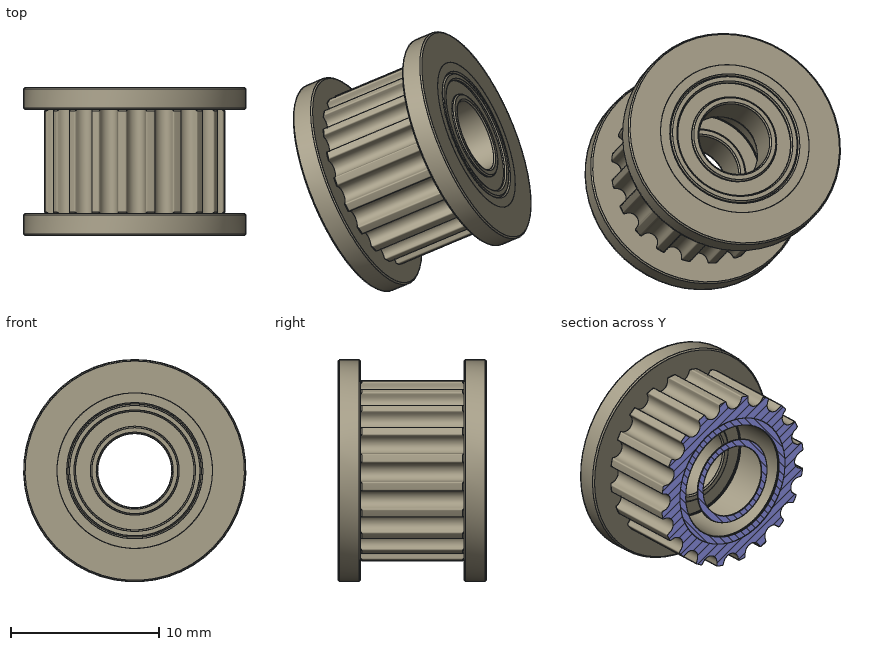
import cadquery as cq
import math

pulley_width = 10.0
half_width = pulley_width / 2

flange_radius = 7.5
flange_width = 1.5
flange_edge = 0.1
hub_radius = 5.25

tooth_count = 20
belt_pitch = 2.0
pitch_line_offset = 0.255
groove_depth = 0.74
groove_radius = 0.61
flank_angle = 17.0
tooth_tip_fillet = 0.1
tooth_end_edge = 0.1
first_groove_angle = -1.2
tooth_angle = 360 / tooth_count
tip_radius = tooth_count * belt_pitch / (2 * math.pi) - pitch_line_offset
tooth_width = pulley_width - 2 * flange_width

bearing_bore_radius = 2.5
bearing_outer_radius = 4.5
bearing_width = 3.0
inner_race_radius = 3.0
outer_race_radius = 4.0
shield_recess = 0.2
bearing_edge = 0.1

shoulder_radius = outer_race_radius
seat_edge = 0.1


def cylinder(radius, length):
    """Solid cylinder along Y, centred on the origin."""
    return cq.Workplane("XZ").circle(radius).extrude(length / 2, both=True)


def revolved(profile):
    """Turn a closed profile of (y, radius) points about the Y axis."""
    return cq.Workplane("YZ").polyline(profile).close().revolve(360, (0, 0), (1, 0))


def both_ends(end_body):
    """The body at the -Y end and its mirrored copy at the +Y end."""
    return [end_body, end_body.mirror("XZ")]


def point_towards(start, target, distance):
    """Point at the given distance from start, in the direction of target."""
    step_x = target[0] - start[0]
    step_y = target[1] - start[1]
    ratio = distance / math.hypot(step_x, step_y)
    return (start[0] + step_x * ratio, start[1] + step_y * ratio)


def arc_middle(centre, start, end):
    """Middle point of the shorter arc about centre from start to end."""
    chord_middle = ((start[0] + end[0]) / 2, (start[1] + end[1]) / 2)
    return point_towards(centre, chord_middle, math.dist(centre, start))


def groove_half_profile():
    """Points of half a groove that opens along +x, from its bottom out to the tooth tip.

    The bottom arc runs into a straight flank, and a fillet joins the flank to the tip circle.
    """
    axis = (0.0, 0.0)
    bottom = (tip_radius - groove_depth, 0.0)
    bottom_centre = (bottom[0] + groove_radius, 0.0)
    flank_cosine = math.cos(math.radians(flank_angle))
    flank_sine = math.sin(math.radians(flank_angle))
    flank_start = (bottom_centre[0] - groove_radius * flank_sine, groove_radius * flank_cosine)

    start_along = flank_start[0] * flank_cosine + flank_start[1] * flank_sine
    centre_across = flank_start[1] * flank_cosine - flank_start[0] * flank_sine + tooth_tip_fillet
    centre_along = math.sqrt((tip_radius - tooth_tip_fillet) ** 2 - centre_across**2)
    flank_length = centre_along - start_along
    flank_end = (flank_start[0] + flank_length * flank_cosine, flank_start[1] + flank_length * flank_sine)
    fillet_centre = (
        flank_end[0] - tooth_tip_fillet * flank_sine,
        flank_end[1] + tooth_tip_fillet * flank_cosine,
    )
    tip = point_towards(axis, fillet_centre, tip_radius)
    return bottom, flank_start, flank_end, arc_middle(fillet_centre, flank_end, tip), tip


def turned(point, angle):
    """Point turned about the axis by an angle in degrees."""
    cosine = math.cos(math.radians(angle))
    sine = math.sin(math.radians(angle))
    return (point[0] * cosine - point[1] * sine, point[0] * sine + point[1] * cosine)


def make_toothed_rim():
    half_groove = groove_half_profile()
    other_half = [(x, -y) for x, y in half_groove]
    land_middle = turned((tip_radius, 0.0), tooth_angle / 2)
    next_tip = turned(other_half[-1], tooth_angle)

    rim = cq.Workplane("XZ").moveTo(*turned(other_half[-1], first_groove_angle))
    for index in range(tooth_count):
        angle = first_groove_angle + index * tooth_angle
        bottom, flank_start, flank_end, fillet_middle, tip = [turned(p, angle) for p in half_groove]
        _, other_start, other_end, other_middle, _ = [turned(p, angle) for p in other_half]
        rim = (
            rim.threePointArc(other_middle, other_end)
            .lineTo(*other_start)
            .threePointArc(bottom, flank_start)
            .lineTo(*flank_end)
            .threePointArc(fillet_middle, tip)
            .threePointArc(turned(land_middle, angle), turned(next_tip, angle))
        )
    rim = rim.close().extrude(tooth_width / 2, both=True)
    return rim.intersect(cylinder(tip_radius, tooth_width).edges().chamfer(tooth_end_edge))


def make_toothed_body():
    body = make_toothed_rim().union(cylinder(hub_radius, pulley_width))
    body = body.cut(cylinder(shoulder_radius, pulley_width))
    seat_end = -half_width + bearing_width
    seat = revolved(
        [
            (-half_width, 0),
            (-half_width, bearing_outer_radius + seat_edge),
            (-half_width + seat_edge, bearing_outer_radius),
            (seat_end, bearing_outer_radius),
            (seat_end, 0),
        ]
    )
    for end_seat in both_ends(seat):
        body = body.cut(end_seat)
    return body


def make_flange():
    outer_face = -half_width
    inner_face = outer_face + flange_width
    return revolved(
        [
            (outer_face, hub_radius),
            (outer_face, flange_radius - flange_edge),
            (outer_face + flange_edge, flange_radius),
            (inner_face - flange_edge, flange_radius),
            (inner_face, flange_radius - flange_edge),
            (inner_face, hub_radius),
        ]
    )


def make_bearing():
    middle = -half_width + bearing_width / 2
    outer_face = -half_width
    edge = outer_face + bearing_edge
    shield = outer_face + shield_recess
    outer_side = [
        (edge, bearing_bore_radius),
        (outer_face, bearing_bore_radius + bearing_edge),
        (outer_face, inner_race_radius - bearing_edge),
        (edge, inner_race_radius),
        (shield, inner_race_radius),
        (shield, outer_race_radius),
        (edge, outer_race_radius),
        (outer_face, outer_race_radius + bearing_edge),
        (outer_face, bearing_outer_radius - bearing_edge),
        (edge, bearing_outer_radius),
    ]
    inner_side = [(2 * middle - y, radius) for y, radius in reversed(outer_side)]
    return revolved(outer_side + inner_side)


toothed_body = make_toothed_body()
flanges = both_ends(make_flange())
bearings = both_ends(make_bearing())

result = cq.Compound.makeCompound(
    [toothed_body.val()]
    + [flange.val() for flange in flanges]
    + [bearing.val() for bearing in bearings]
)